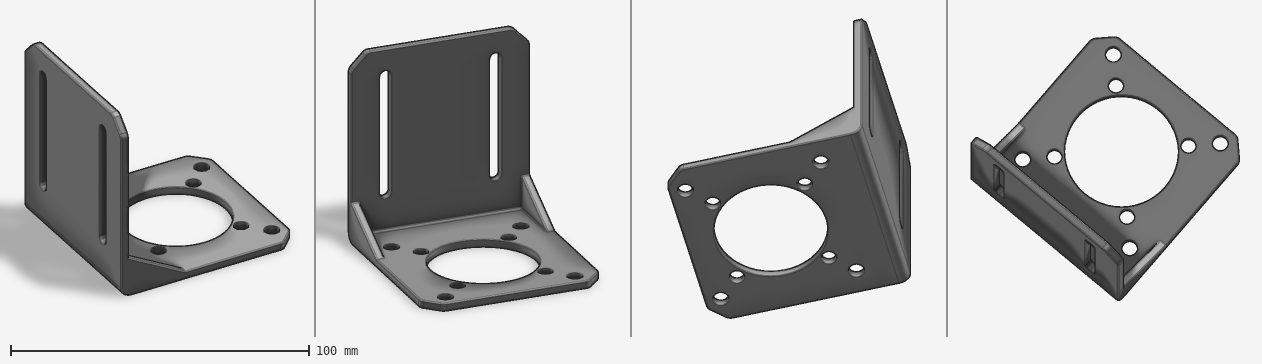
import cadquery as cq
width = 65.0
leg_length = 69.0
thickness = 3.0
inner_bend_radius = 1.0
outer_bend_radius = inner_bend_radius + thickness

corner_clip = 2 * thickness
corner_radius = thickness

gusset_depth = 25.0
gusset_height = 15.0
gusset_thickness = thickness
gusset_root_radius = 0.5

outline_radius = 0.5
opening_radius = 0.31
screw_hole_radius = 0.105

axis_y = 40.0
bore_diameter = 38.15
outer_hole_spacing = 47.0
outer_hole_diameter = 5.3
inner_hole_spacing = 31.9
inner_hole_diameter = 5.1

slot_spacing = 40.0
slot_width = 4.15
slot_length = 46.15
slot_centre_z = 38.0

half_width = width / 2
gusset_inner_x = half_width - gusset_thickness
tolerance = 0.01


def nearest(x, y, z):
    """Selector for the edge whose centre is closest to a point."""
    return cq.selectors.NearestToPointSelector((x, y, z))


def bent_plate():
    """L-shaped plate with its outer corner on the X axis."""
    outline = [
        (0, 0),
        (leg_length, 0),
        (leg_length, thickness),
        (thickness, thickness),
        (thickness, leg_length),
        (0, leg_length),
    ]
    plate = cq.Workplane("YZ", origin=(-half_width, 0, 0)).polyline(outline).close().extrude(width)
    plate = plate.edges(nearest(0, 0, 0)).fillet(outer_bend_radius)
    return plate.edges(nearest(0, thickness, thickness)).fillet(inner_bend_radius)


def clip_corners(body):
    """Cut the free corners of both legs at 45 degrees and round what is left."""
    clip_start = leg_length - corner_clip
    for end_face, through_plate in ((">Z", "|Y"), (">Y", "|Z")):
        body = body.faces(end_face).edges(through_plate).chamfer(corner_clip)
        body = body.faces(end_face).edges(through_plate).fillet(corner_radius)
    for side_x in (-half_width, half_width):
        body = body.edges(nearest(side_x, thickness / 2, clip_start)).fillet(corner_radius)
        body = body.edges(nearest(side_x, clip_start, thickness / 2)).fillet(corner_radius)
    return body


def gusset(start_x):
    """Triangular web tying the legs together, sunk into both for a clean joint."""
    sunk = thickness / 2
    outline = [
        (sunk, sunk),
        (gusset_depth, sunk),
        (gusset_depth, thickness),
        (thickness, gusset_height),
        (sunk, gusset_height),
    ]
    return cq.Workplane("YZ", origin=(start_x, 0, 0)).polyline(outline).close().extrude(gusset_thickness)


def is_outline_edge(edge):
    """True for edges along the free outline, but not those crossing the plate thickness."""
    box = edge.BoundingBox()
    centre = edge.Center()
    in_side_plane = box.xlen < tolerance
    on_side = in_side_plane and abs(centre.x) > half_width - tolerance
    at_leg_end = max(centre.y, centre.z) > leg_length - corner_clip - tolerance
    crosses_plate = in_side_plane and max(box.ylen, box.zlen) < thickness + tolerance
    return (on_side or at_leg_end) and not crosses_plate


def is_on_gusset_inner_face(edge):
    """True for edges lying in the inner face of either gusset."""
    in_plane = edge.BoundingBox().xlen < tolerance
    return in_plane and abs(abs(edge.Center().x) - gusset_inner_x) < tolerance


def is_gusset_rim(edge):
    """True for the sloping inner edge of a gusset."""
    box = edge.BoundingBox()
    sloping = box.ylen > gusset_depth / 2 and box.zlen > gusset_height / 2
    return sloping and is_on_gusset_inner_face(edge)


def is_gusset_root(edge):
    """True for the inner corner between a gusset and the bent plate."""
    centre = edge.Center()
    near_plate = min(centre.y, centre.z) < thickness + inner_bend_radius
    below_rim = centre.y < gusset_depth and centre.z < gusset_height
    return near_plate and below_rim and is_on_gusset_inner_face(edge)


def around(centre, reach):
    """Selector for edges whose centres lie within a reach of a point along each axis."""
    low = tuple(c - r - tolerance for c, r in zip(centre, reach))
    high = tuple(c + r + tolerance for c, r in zip(centre, reach))
    return cq.selectors.BoxSelector(low, high)


def cut_round_hole(body, x, y, diameter, rim_radius):
    """Hole through the base leg with its rims rounded on both faces."""
    hole = cq.Workplane("XY", origin=(x, y, 0)).circle(diameter / 2).extrude(thickness)
    rims = around((x, y, thickness / 2), (tolerance, tolerance, thickness / 2))
    return body.cut(hole).edges("%CIRCLE").edges(rims).fillet(rim_radius)


def cut_screw_holes(body, spacing, diameter):
    """Square pattern of four screw holes around the motor axis."""
    for x in (-spacing / 2, spacing / 2):
        for y in (axis_y - spacing / 2, axis_y + spacing / 2):
            body = cut_round_hole(body, x, y, diameter, screw_hole_radius)
    return body


def cut_slot(body, x):
    """Upright adjustment slot with its rims rounded on both faces."""
    upright = cq.Workplane("XZ", origin=(x, thickness, slot_centre_z))
    slot = upright.slot2D(slot_length, slot_width, 90).extrude(thickness)
    rims = around((x, thickness / 2, slot_centre_z), (slot_width / 2, thickness / 2, slot_length / 2))
    return body.cut(slot).edges(rims).edges("not |Y").fillet(opening_radius)


body = clip_corners(bent_plate())
for start_x in (-half_width, gusset_inner_x):
    body = body.union(gusset(start_x))
body = body.edges().filter(is_outline_edge).fillet(outline_radius)
body = body.edges().filter(is_gusset_rim).fillet(outline_radius)
body = body.edges().filter(is_gusset_root).fillet(gusset_root_radius)
body = cut_round_hole(body, 0, axis_y, bore_diameter, opening_radius)
body = cut_screw_holes(body, outer_hole_spacing, outer_hole_diameter)
body = cut_screw_holes(body, inner_hole_spacing, inner_hole_diameter)
for slot_x in (-slot_spacing / 2, slot_spacing / 2):
    body = cut_slot(body, slot_x)
result = body